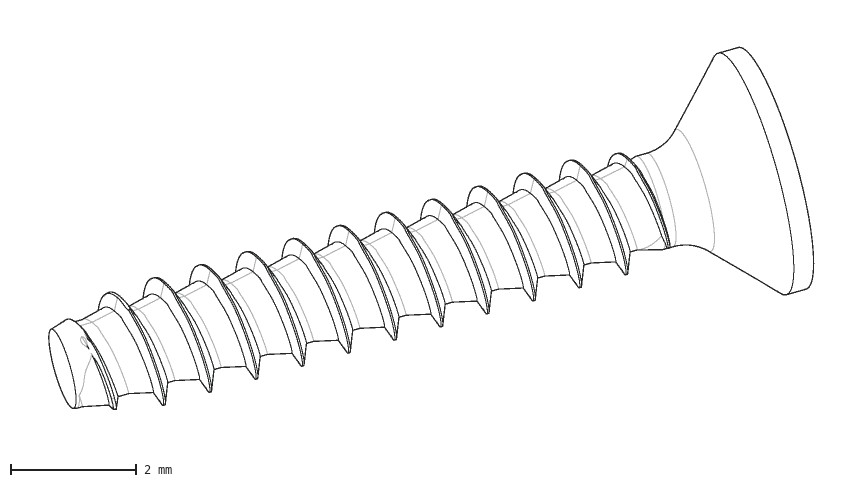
import cadquery as cq
import math


length = 12.0
head_radius = 2.0
rim_height = 0.335
cone_angle = math.radians(45)
neck_radius = 0.775
neck_fillet_radius = 0.8
neck_depth = 2.07
neck_taper_length = 0.4
neck_taper_overrun = 0.08

core_radius = 0.67
tip_radius = 0.655
tip_flare = 0.3
tip_rise = 0.03

pitch = 0.78
half_turn = pitch / 2
crest_radius = 1.0
crest_half_width = 0.015
head_flank_reach = 0.16
tip_flank_reach = 0.11
swell_radius = 0.76
swell_reach = 0.5
faded_flank_reach = 0.06

sunk_spans_head = 1
full_spans = 21
sunk_spans_tip = 2
thread_start_depth = 1.9
crest_depth_at_x = 11.4
rod_start_depth = thread_start_depth - sunk_spans_head * half_turn
start_angle = 2 * math.pi * (crest_depth_at_x - rod_start_depth) / pitch
points_per_span = 8
share_step = 1e-5


def make_head():
    """Revolved countersunk head with a filleted neck that tapers into the core."""
    fillet_start_radius = neck_radius + neck_fillet_radius * (1 - math.cos(cone_angle))
    fillet_start = rim_height + (head_radius - fillet_start_radius) / math.tan(cone_angle)
    fillet_end = fillet_start + neck_fillet_radius * math.sin(cone_angle)
    half_angle = cone_angle / 2
    fillet_middle = (
        neck_radius + neck_fillet_radius * (1 - math.cos(half_angle)),
        -fillet_end + neck_fillet_radius * math.sin(half_angle),
    )
    taper_slope = (neck_radius - core_radius) / neck_taper_length
    buried_length = neck_taper_length + neck_taper_overrun
    return (
        cq.Workplane("XZ")
        .lineTo(head_radius, 0)
        .lineTo(head_radius, -rim_height)
        .lineTo(fillet_start_radius, -fillet_start)
        .threePointArc(fillet_middle, (neck_radius, -fillet_end))
        .lineTo(neck_radius, -neck_depth)
        .lineTo(neck_radius - taper_slope * buried_length, -neck_depth - buried_length)
        .lineTo(0, -neck_depth - buried_length)
        .close()
        .revolve(360, (0, 0, 0), (0, 1, 0))
    )


def rod_profile(flank_head, flank_tip, crest):
    """One pitch of the rod's outline as (axial offset, radius) corners."""
    return [
        (swell_reach - pitch, core_radius),
        (-flank_head, core_radius),
        (-crest_half_width, crest),
        (crest_half_width, crest),
        (flank_tip, swell_radius),
        (swell_reach, core_radius),
    ]


def helix_point(corner, turns):
    """Position of a profile corner after the given number of turns from the rod's start."""
    offset, radius = corner
    angle = start_angle - 2 * math.pi * turns
    depth = rod_start_depth + turns * pitch + offset
    return cq.Vector(radius * math.cos(angle), radius * math.sin(angle), -depth)


def helix_span(start_corner, end_corner, index):
    """Curve of a corner through half a turn, moving from its start to its end place."""

    def point(share):
        corner = [a + share * (b - a) for a, b in zip(start_corner, end_corner)]
        return helix_point(corner, (index + share) / 2)

    def tangent(share):
        return point(share + share_step).sub(point(share - share_step)).normalized()

    points = [point(step / points_per_span) for step in range(points_per_span + 1)]
    return cq.Edge.makeSpline(points, tangents=[tangent(0), tangent(1)])


def section_face(profile, turns):
    """Flat face from the axis to the outline, closing the rod at one end."""
    first_offset = profile[0][0]
    axis_corners = [(first_offset + step * half_turn, 0) for step in (2, 1, 0)]
    points = [helix_point(corner, turns) for corner in profile + axis_corners]
    return cq.Face.makeFromWires(cq.Wire.makePolygon(points, close=True))


def ramp_face(corner, index):
    """Half a turn of the spiral ramp between the axis and a corner's helix."""
    axis_corner = (corner[0], 0)
    axis_edge = cq.Edge.makeLine(
        helix_point(axis_corner, index / 2), helix_point(axis_corner, (index + 1) / 2)
    )
    return cq.Face.makeRuledSurface(helix_span(corner, corner, index), axis_edge)


def make_threaded_rod():
    """Core and thread as one solid, bounded by helical strips and closed by spiral ends."""
    sunk = rod_profile(faded_flank_reach, faded_flank_reach, swell_radius)
    full = rod_profile(head_flank_reach, tip_flank_reach, crest_radius)
    half_sunk = [tuple((a + b) / 2 for a, b in zip(*pair)) for pair in zip(sunk, full)]
    stations = [sunk] * (sunk_spans_head + 1) + [half_sunk]
    stations += [full] * (full_spans + 1) + [half_sunk]
    stations += [sunk] * (sunk_spans_tip + 1)
    spans = len(stations) - 1

    faces = [section_face(sunk, 0), section_face(sunk, spans / 2)]
    for index, (start, end) in enumerate(zip(stations, stations[1:])):
        edges = [helix_span(a, b, index) for a, b in zip(start, end)]
        faces += [cq.Face.makeRuledSurface(a, b) for a, b in zip(edges, edges[1:])]
    faces += [ramp_face(sunk[0], index) for index in (0, 1)]
    faces += [ramp_face(sunk[-1], index) for index in (spans - 2, spans - 1)]
    return cq.Workplane(obj=cq.Solid.makeSolid(cq.Shell.makeShell(faces)).fix())


def make_tip_trim():
    """Revolved waste that leaves a slightly tapered end with a shallow cone at the tip."""
    waste_end = -length - 3 * pitch
    edge_height = -length + tip_rise
    taper_top = edge_height + (head_radius - tip_radius) / tip_flare
    return (
        cq.Workplane("XZ")
        .moveTo(0, -length)
        .lineTo(tip_radius, edge_height)
        .lineTo(head_radius, taper_top)
        .lineTo(head_radius, waste_end)
        .lineTo(0, waste_end)
        .close()
        .revolve(360, (0, 0, 0), (0, 1, 0))
    )


threaded_rod = make_threaded_rod().cut(make_tip_trim())
result = make_head().union(threaded_rod).rotate((0, 0, 0), (1, 0, 0), -90)